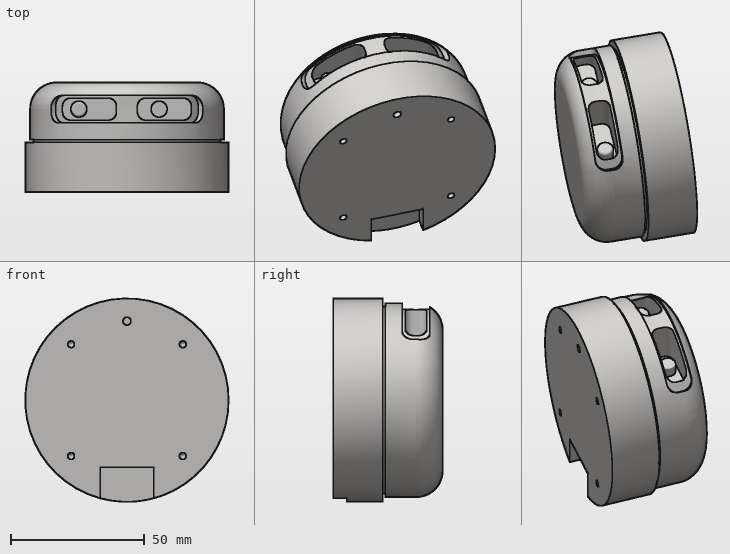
import cadquery as cq
import math

total_depth = 41.0

base_diameter = 76
base_depth = 18.55
neck_diameter = 70.0
neck_depth = 1.0
lid_diameter = 72.5
dome_radius = 10.0
dome_start = total_depth - dome_radius

notch_width = 20.0
notch_top = -25.0
notch_depth = 5.0

hole_circle_radius = 29.5
screw_hole_diameter = 2.5
screw_hole_depth = 5.0
screw_tip_angle = 118
screw_hole_angles = (45, 135, 225, 315)
locating_hole_diameter = 3.0
locating_hole_depth = 5.0
locating_hole_angle = 90

band_floor_radius = 34.05
band_width = 10.2
band_corner_radius = 4.0
band_half_angle = 51.3

pocket_offset = 14.0
pocket_length = 20.15
pocket_width = 8.2
pocket_corner_radius = 3.05
pocket_floor = 19

knob_diameter = 6.0
knob_height = 4.0
left_knob_x = -17.9
left_knob_rounding = 1.0
right_knob_x = 12.0
right_knob_rounding = 0.3


def drum(diameter, start, depth):
    """Cylinder about the Y axis from start to start + depth."""
    return cq.Workplane("XZ", origin=(0, start, 0)).circle(diameter / 2).extrude(-depth)


def make_body():
    """Base, neck and lid, with the far rim of the lid rounded into a dome."""
    lid_start = base_depth + neck_depth
    base = drum(base_diameter, 0, base_depth)
    neck = drum(neck_diameter, base_depth, neck_depth)
    lid = drum(lid_diameter, lid_start, total_depth - lid_start)
    domed_lid = lid.faces(">Y").edges().fillet(dome_radius)
    return base.union(neck).union(domed_lid)


def make_notch():
    """Block open to the mounting face and to the lower rim of the base."""
    rim_bottom = -base_diameter / 2
    return (
        cq.Workplane("XY", origin=(0, notch_depth / 2, rim_bottom))
        .rect(notch_width, notch_depth)
        .extrude(notch_top - rim_bottom)
    )


def on_hole_circle(angle):
    """X and Z of the point at this angle from +X on the hole circle."""
    radians = math.radians(angle)
    return hole_circle_radius * math.cos(radians), hole_circle_radius * math.sin(radians)


def make_screw_hole(angle):
    """Blind drilled hole with a conical bottom."""
    x, z = on_hole_circle(angle)
    radius = screw_hole_diameter / 2
    tip_depth = radius / math.tan(math.radians(screw_tip_angle / 2))
    profile = (
        cq.Workplane("XY")
        .polyline([(0, 0), (radius, 0), (radius, screw_hole_depth), (0, screw_hole_depth + tip_depth)])
        .close()
    )
    return profile.revolve(360, (0, 0), (0, 1)).translate((x, 0, z))


def make_locating_hole():
    """Blind hole with a flat bottom."""
    x, z = on_hole_circle(locating_hole_angle)
    return drum(locating_hole_diameter, 0, locating_hole_depth).translate((x, 0, z))


def make_band():
    """Ring sector centred on +Z, with its radial edges rounded."""
    ring_outer_radius = base_diameter / 2
    ring_thickness = ring_outer_radius - band_floor_radius
    ring_middle_radius = (ring_outer_radius + band_floor_radius) / 2
    sector = (
        cq.Workplane("XY")
        .center(ring_middle_radius, dome_start)
        .rect(ring_thickness, band_width)
        .revolve(2 * band_half_angle, (-ring_middle_radius, 0), (-ring_middle_radius, 1))
    )
    rounded = sector.edges("%LINE").edges("#Y").fillet(band_corner_radius)
    return rounded.rotate((0, 0, 0), (0, 1, 0), -90 - band_half_angle)


def make_pocket(x):
    """Rounded slot from the pocket floor up through the band."""
    return (
        cq.Workplane("XY", origin=(x, dome_start, pocket_floor))
        .rect(pocket_length, pocket_width)
        .extrude(base_diameter / 2 - pocket_floor)
        .edges("|Z")
        .fillet(pocket_corner_radius)
    )


def make_knob(x, rounding):
    """Upright round knob with a rounded top edge."""
    return (
        cq.Workplane("XY", origin=(x, dome_start, pocket_floor))
        .circle(knob_diameter / 2)
        .extrude(knob_height)
        .faces(">Z")
        .edges()
        .fillet(rounding)
    )


result = make_body().cut(make_notch()).cut(make_locating_hole())
for hole_angle in screw_hole_angles:
    result = result.cut(make_screw_hole(hole_angle))

result = result.cut(make_band())
for side in (-1, 1):
    result = result.cut(make_pocket(side * pocket_offset))

result = result.union(make_knob(left_knob_x, left_knob_rounding))
result = result.union(make_knob(right_knob_x, right_knob_rounding))